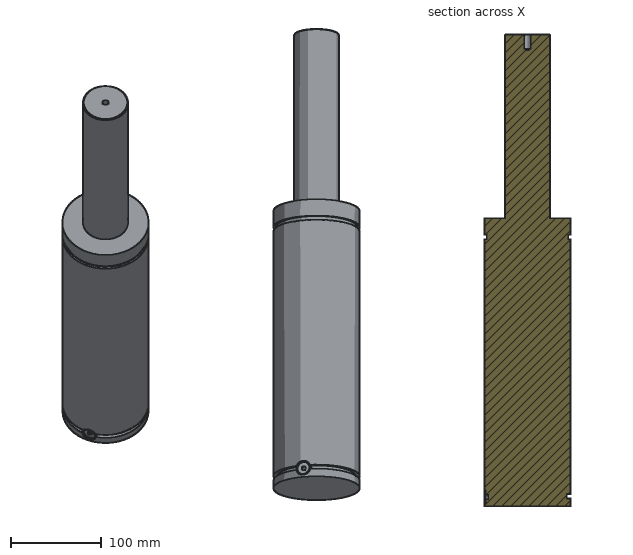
import cadquery as cq
import math

total_height = 520.0
body_diameter = 95.0
body_height = 317.5
rod_diameter = 50.0
rod_edge_chamfer = 1.0

groove_width = 4.5
upper_groove_bottom = 294.5
upper_groove_depth = 2.5
lower_groove_bottom = 9.0
lower_groove_depth = 4.0

rod_hole_diameter = 7.0
rod_hole_depth = 15.5
drill_tip_angle = 118

port_diameter = 16.0
port_height = 10.5
port_root_depth = 8.0
recess_diameter = 14.0
recess_depth = 1.5
socket_diameter = 4.5
socket_depth = 2.5

body_radius = body_diameter / 2


def ring_groove(bottom, depth):
    """Ring of material to remove from the outside of the body."""
    return (
        cq.Workplane("XY", origin=(0, 0, bottom))
        .circle(body_radius)
        .circle(body_radius - depth)
        .extrude(groove_width)
    )


def port_cylinder(diameter, outer_radius, inner_radius):
    """Cylinder on the port axis between two distances from the body axis."""
    return (
        cq.Workplane("XZ", origin=(0, -inner_radius, port_height))
        .circle(diameter / 2)
        .extrude(outer_radius - inner_radius)
    )


body = cq.Workplane("XY").circle(body_radius).extrude(body_height)
body = body.cut(ring_groove(upper_groove_bottom, upper_groove_depth))
body = body.cut(ring_groove(lower_groove_bottom, lower_groove_depth))

rod = (
    cq.Workplane("XY", origin=(0, 0, body_height))
    .circle(rod_diameter / 2)
    .extrude(total_height - body_height)
    .faces(">Z")
    .chamfer(rod_edge_chamfer)
)

hole_radius = rod_hole_diameter / 2
tip_length = hole_radius / math.tan(math.radians(drill_tip_angle / 2))
rod_hole = (
    cq.Workplane("XZ", origin=(0, 0, total_height))
    .polyline([
        (0, 0),
        (hole_radius, 0),
        (hole_radius, -rod_hole_depth),
        (0, -rod_hole_depth - tip_length),
    ])
    .close()
    .revolve(360, (0, 0), (0, 1))
)

recess_floor = body_radius - recess_depth
port = port_cylinder(port_diameter, body_radius, body_radius - port_root_depth)
recess = port_cylinder(recess_diameter, body_radius, recess_floor)
socket = port_cylinder(socket_diameter, recess_floor, recess_floor - socket_depth)

result = body.union(rod).cut(rod_hole).union(port).cut(recess).cut(socket)